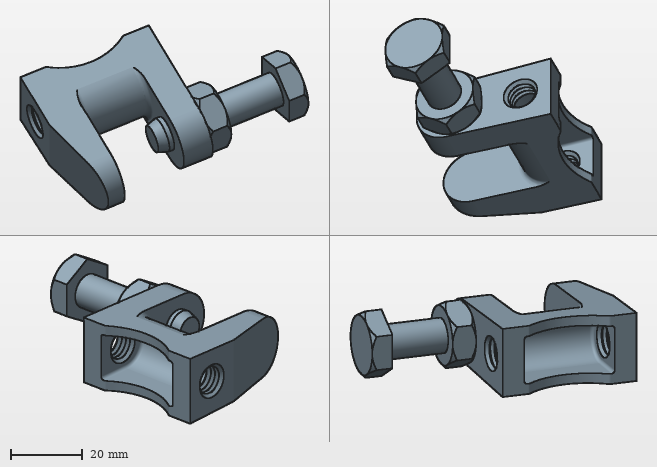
import cadquery as cq
import math


BODY_HEIGHT = 40.0
BODY_WIDTH = 20.0
UPPER_ARM_LENGTH = 40.0
LOWER_ARM_LENGTH = 43.0
UPPER_ARM_THICKNESS = 9.0
LOWER_ARM_THICKNESS = 11.0
TIP_THICKNESS = 5.1
TAPER_START = 18.0
SIDE_TAPER = math.radians(1.7)

SPINE_FRONT = 19.0
SPINE_RADIUS = 9.8
SPINE_FILLET = 1.5
SPINE_CENTER = SPINE_FRONT - SPINE_RADIUS

MID_HEIGHT = BODY_HEIGHT / 2
SADDLE_RADIUS = 20.0
SADDLE_DEPTH = 4.0
SADDLE_EDGE_FILLET = 1.0
POCKET_HEIGHT = 27.0
POCKET_WIDTH = 14.0
POCKET_FILLET = 1.0
SPINE_WALL = 2.0

THREAD_DIAMETER = 10.0
BORE_DIAMETER = 8.0
THREAD_PITCH = 1.5
HOLE_X = 9.0

BOLT_X = 29.0
BOLT_TOP = 71.0
HEAD_THICKNESS = 6.0
NUT_THICKNESS = 7.0
HEX_FLATS = 17.0
BOLT_TIP = 26.5
POINT_LENGTH = 3.0

OVERCUT = 3.55


def arm_blank(length, bottom, top):
    """Plate with tapered sides that run tangent into a round end."""
    half = BODY_WIDTH / 2
    end_radius = ((half - length * math.tan(SIDE_TAPER)) * math.cos(SIDE_TAPER)
                  / (1 - math.sin(SIDE_TAPER)))
    center = length - end_radius
    tangent_x = center + end_radius * math.sin(SIDE_TAPER)
    tangent_z = end_radius * math.cos(SIDE_TAPER)
    return (
        cq.Workplane("XZ", origin=(0, top, 0))
        .moveTo(0, -half)
        .lineTo(tangent_x, -tangent_z)
        .threePointArc((length, 0), (tangent_x, tangent_z))
        .lineTo(0, half)
        .close()
        .extrude(top - bottom)
    )


def flared_spine(bottom, top):
    """Round column that widens with a fillet where it meets each arm."""
    flare = SPINE_RADIUS + SPINE_FILLET
    inset = SPINE_FILLET * (1 - math.sqrt(0.5))
    return (
        cq.Workplane("XY", origin=(SPINE_CENTER, 0, 0))
        .moveTo(0, bottom)
        .lineTo(flare, bottom)
        .threePointArc((SPINE_RADIUS + inset, bottom + inset), (SPINE_RADIUS, bottom + SPINE_FILLET))
        .lineTo(SPINE_RADIUS, top - SPINE_FILLET)
        .threePointArc((SPINE_RADIUS + inset, top - inset), (flare, top))
        .lineTo(0, top)
        .close()
        .revolve(360, (0, 0, 0), (0, 1, 0))
    )


def jaw_opening():
    """Space between the arms, in front of the round spine."""
    bottom = LOWER_ARM_THICKNESS
    top = BODY_HEIGHT - UPPER_ARM_THICKNESS
    opening = cq.Workplane("XY").box(
        LOWER_ARM_LENGTH, top - bottom, BODY_WIDTH + 2 * OVERCUT, centered=(False, False, True)
    )
    return opening.translate((SPINE_CENTER, bottom, 0)).cut(flared_spine(bottom, top))


def lower_arm_wedge():
    """Material below the lower arm's sloping underside."""
    tip_rise = LOWER_ARM_THICKNESS - TIP_THICKNESS
    return (
        cq.Workplane("XY")
        .polyline([(TAPER_START, 0), (LOWER_ARM_LENGTH, tip_rise), (LOWER_ARM_LENGTH, 0)])
        .close()
        .extrude(BODY_WIDTH / 2, both=True)
    )


def cut_saddle(body):
    """Shallow cylindrical hollow in the back face, with rounded edges."""
    center_x = SADDLE_DEPTH - SADDLE_RADIUS
    half_chord = math.sqrt(SADDLE_RADIUS**2 - center_x**2)
    hollow = (
        cq.Workplane("XY")
        .center(center_x, MID_HEIGHT)
        .circle(SADDLE_RADIUS)
        .extrude(BODY_WIDTH, both=True)
    )
    body = body.cut(hollow)
    for side in (-1, 1):
        edge = cq.selectors.NearestToPointSelector((0, MID_HEIGHT + side * half_chord, 0))
        body = body.edges("|Z").edges(edge).fillet(SADDLE_EDGE_FILLET)
    return body


def pocket():
    """Round-bottomed pocket that hollows the spine from the back."""
    half = POCKET_WIDTH / 2
    floor_center = SPINE_FRONT - SPINE_WALL - half
    return (
        cq.Workplane("XZ", origin=(0, MID_HEIGHT, 0))
        .moveTo(-OVERCUT, -half)
        .lineTo(floor_center, -half)
        .threePointArc((floor_center + half, 0), (floor_center, half))
        .lineTo(-OVERCUT, half)
        .close()
        .extrude(POCKET_HEIGHT / 2, both=True)
        .faces("<Y or >Y")
        .edges()
        .fillet(POCKET_FILLET)
    )


def threaded_hole(bottom, top):
    """Bore with a countersink at each end and V-shaped thread grooves between them."""
    bore = BORE_DIAMETER / 2
    outer = THREAD_DIAMETER / 2
    depth = outer - bore
    thread_start = bottom + depth
    thread_length = top - depth - thread_start
    grooves = round(thread_length / THREAD_PITCH)
    groove_width = thread_length / grooves
    profile = (
        cq.Workplane("XY", origin=(HOLE_X, 0, 0))
        .moveTo(0, bottom)
        .lineTo(outer, bottom)
        .lineTo(bore, thread_start)
    )
    for index in range(grooves):
        groove_start = thread_start + index * groove_width
        profile = profile.lineTo(outer, groove_start + groove_width / 2)
        profile = profile.lineTo(bore, groove_start + groove_width)
    profile = profile.lineTo(outer, top).lineTo(0, top)
    return profile.close().revolve(360, (0, 0, 0), (0, 1, 0))


def bolt_cylinder(diameter, bottom, top):
    return cq.Workplane("XZ", origin=(BOLT_X, top, 0)).circle(diameter / 2).extrude(top - bottom)


def hexagon(bottom, top, chamfer_bottom):
    """Hexagonal prism with flats facing X, its corners chamfered down to the across-flats circle."""
    corners = HEX_FLATS / math.cos(math.pi / 6)
    chamfer = (corners - HEX_FLATS) / 2
    prism = (
        cq.Workplane("XZ", origin=(BOLT_X, top, 0))
        .transformed(rotate=(0, 0, 90))
        .polygon(6, corners)
        .extrude(top - bottom)
    )
    chamfered_faces = "<Y or >Y" if chamfer_bottom else ">Y"
    envelope = bolt_cylinder(corners, bottom, top).faces(chamfered_faces).edges().chamfer(chamfer)
    return prism.intersect(envelope)


def bolt():
    """Bolt with a hexagonal head, a conical point and a lock nut seated on the upper arm."""
    head_bottom = BOLT_TOP - HEAD_THICKNESS
    point_narrowing = (THREAD_DIAMETER - BORE_DIAMETER) / 2
    shank = (
        bolt_cylinder(THREAD_DIAMETER, BOLT_TIP, head_bottom)
        .faces("<Y")
        .chamfer(POINT_LENGTH, point_narrowing)
    )
    head = hexagon(head_bottom, BOLT_TOP, chamfer_bottom=False)
    nut = hexagon(BODY_HEIGHT, BODY_HEIGHT + NUT_THICKNESS, chamfer_bottom=True)
    return shank.union(head).union(nut)


pocket_bottom = MID_HEIGHT - POCKET_HEIGHT / 2
pocket_top = MID_HEIGHT + POCKET_HEIGHT / 2

body = arm_blank(LOWER_ARM_LENGTH, 0, MID_HEIGHT)
body = body.union(arm_blank(UPPER_ARM_LENGTH, MID_HEIGHT, BODY_HEIGHT))
body = body.cut(jaw_opening()).cut(lower_arm_wedge()).clean()
body = cut_saddle(body)
body = body.cut(pocket())
body = body.cut(threaded_hole(0, pocket_bottom)).cut(threaded_hole(pocket_top, BODY_HEIGHT))

result = body.union(bolt())